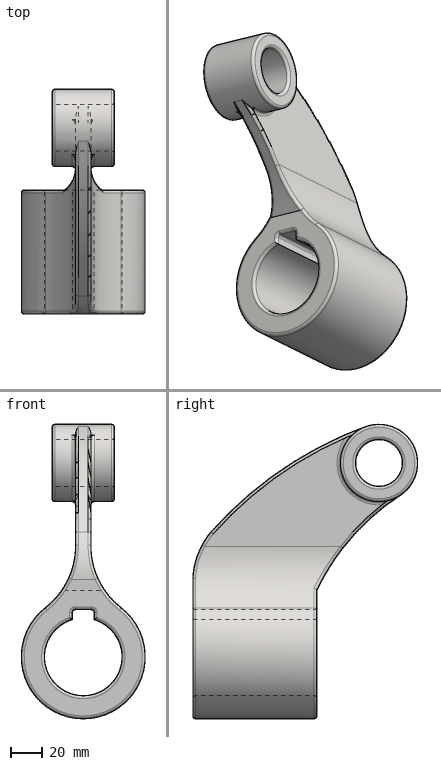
import cadquery as cq
import math

clamp_diameter = 80.0
clamp_length = 80.0
clamp_bore = 50.0
clamp_radius = clamp_diameter / 2

hub_diameter = 50.0
hub_bore = 30.0
hub_width = 40.0
hub_y = 120.0
hub_z = 125.0
hub_radius = hub_diameter / 2

keyway_width = 14.0
keyway_top = 30.4
keyway_corner = 1.9

web_thickness = 10.0
flare_radius = 50.0
edge_round = 1.9
collar_radius = 2.0

bend_start = (0, 46.5)
bend_end = (11.8, 80.5)
bend_radius = 50.0
back_angle = 110
belly_angle = -57
belly_start = (clamp_length, 42.7)


def hub_point(angle):
    """Point (Y, Z) on the hub rim at an angle in degrees."""
    turn = math.radians(angle)
    return hub_y + hub_radius * math.cos(turn), hub_z + hub_radius * math.sin(turn)


def tangent_arc_radius(point, angle):
    """Radius of the arc through a point that touches the hub at the given angle."""
    touch_y, touch_z = hub_point(angle)
    run = touch_y - point[0]
    rise = touch_z - point[1]
    turn = math.radians(angle)
    return (run**2 + rise**2) / (2 * abs(run * math.cos(turn) + rise * math.sin(turn)))


def section_prism():
    """Clamp outline flaring tangentially into the thin web, extruded along Y."""
    half_web = web_thickness / 2
    flare_x = half_web + flare_radius
    center_distance = clamp_radius + flare_radius
    flare_z = math.sqrt(center_distance**2 - flare_x**2)
    tangent_x = clamp_radius * flare_x / center_distance
    tangent_z = clamp_radius * flare_z / center_distance
    web_top = hub_z + hub_diameter
    return (
        cq.Workplane("XZ")
        .moveTo(half_web, web_top)
        .lineTo(half_web, flare_z)
        .radiusArc((tangent_x, tangent_z), -flare_radius)
        .threePointArc((0, -clamp_radius), (-tangent_x, tangent_z))
        .radiusArc((-half_web, flare_z), -flare_radius)
        .lineTo(-half_web, web_top)
        .close()
        .extrude(-(hub_y + hub_radius))
    )


def side_prism(inset=0):
    """Side outline of clamp and arm, optionally inset, extruded along X; it meets the hub tangentially."""
    outline = (
        cq.Workplane("YZ")
        .moveTo(0, -clamp_radius)
        .lineTo(*bend_start)
        .radiusArc(bend_end, bend_radius)
        .radiusArc(hub_point(back_angle), tangent_arc_radius(bend_end, back_angle))
        .lineTo(hub_y, hub_z)
        .lineTo(*hub_point(belly_angle))
        .radiusArc(belly_start, -tangent_arc_radius(belly_start, belly_angle))
        .lineTo(clamp_length, -clamp_radius)
        .close()
    )
    if inset:
        outline = outline.offset2D(-inset)
    return outline.extrude(clamp_radius, both=True)


def rounded_arm():
    """Clamp and arm with the whole outline rounded, except the end buried in the hub."""
    buried_end = cq.selectors.BoxSelector(
        (-clamp_radius, hub_y - hub_radius / 2, hub_z - hub_radius),
        (clamp_radius, hub_y + hub_radius, hub_z + hub_radius),
    )
    arm = section_prism().intersect(side_prism())
    outline = cq.selectors.StringSyntaxSelector("not(|X or |Y)") - buried_end
    return arm.edges(outline).fillet(edge_round)


def pin_hub():
    """Solid hub with rounded ends."""
    return (
        cq.Workplane("YZ", origin=(-hub_width / 2, hub_y, hub_z))
        .circle(hub_radius)
        .extrude(hub_width)
        .faces("<X or >X")
        .edges()
        .fillet(edge_round)
    )


def clamp_cutter():
    """Bore with its keyway."""
    bore = cq.Workplane("XZ").circle(clamp_bore / 2).extrude(-clamp_length)
    keyway = (
        cq.Workplane("XZ")
        .center(0, keyway_top / 2)
        .rect(keyway_width, keyway_top)
        .extrude(-clamp_length)
        .edges("|Y and >Z")
        .fillet(keyway_corner)
    )
    return bore.union(keyway)


def hub_cutter():
    """Pin bore through the hub."""
    hub_end = cq.Workplane("YZ", origin=(-hub_width / 2, hub_y, hub_z))
    return hub_end.circle(hub_bore / 2).extrude(hub_width)


def hub_collar():
    """Concave round between hub and web: a ring around the hub, ending at the arm's rounded edges."""
    half_web = web_thickness / 2
    inner_radius = hub_radius - edge_round
    ring_radius = hub_radius + collar_radius
    ring_half_width = half_web + collar_radius
    ring = (
        cq.Workplane("XY")
        .moveTo(-ring_half_width, inner_radius)
        .lineTo(-ring_half_width, hub_radius)
        .radiusArc((-half_web, ring_radius), -collar_radius)
        .lineTo(half_web, ring_radius)
        .radiusArc((ring_half_width, hub_radius), -collar_radius)
        .lineTo(ring_half_width, inner_radius)
        .close()
        .revolve(360, (0, 0, 0), (1, 0, 0))
        .translate((0, hub_y, hub_z))
    )
    return ring.intersect(side_prism(inset=edge_round))


def round_bore_mouths(body):
    """Round the rims where the bores and keyway break out through the end faces."""
    rims = []
    for face in body.faces("|X or |Y").vals():
        for wire in face.innerWires():
            rims.extend(wire.Edges())
    return body.newObject(rims).fillet(edge_round)


solid_lever = rounded_arm().union(pin_hub()).union(hub_collar())
bored_lever = solid_lever.cut(clamp_cutter()).cut(hub_cutter())
result = round_bore_mouths(bored_lever)